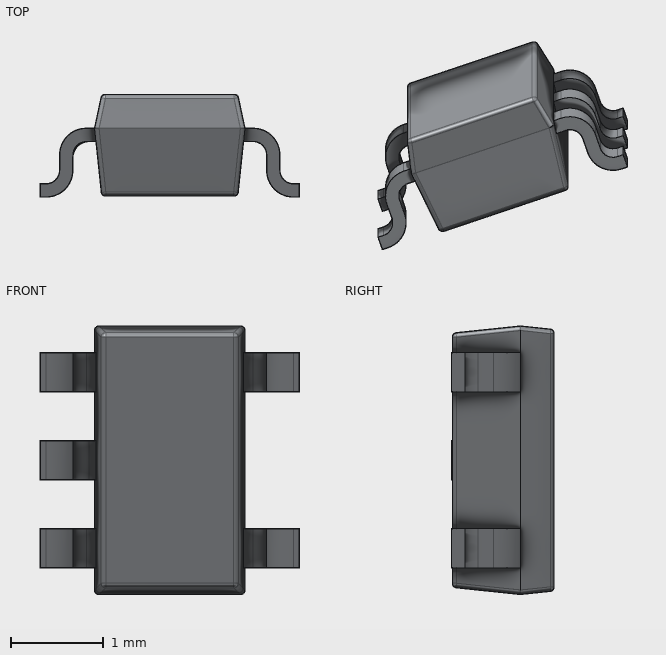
import cadquery as cq
import math

BODY_WIDTH = 1.625
BODY_LENGTH = 2.9
STANDOFF = 0.01
BODY_BACK = 1.11
DRAFT = math.tan(math.radians(6))
BACK_SIDE_DRAFT = math.tan(math.radians(12))
BODY_FILLET = 0.05

LEAD_SPAN = 2.8
LEAD_THICKNESS = 0.145
LEAD_WIDTH = 0.425
LEAD_PITCH = 0.95
LEAD_HEIGHT = 0.745
FOOT_FLAT = 0.065
BEND_INNER = 0.145
BEND_OUTER = BEND_INNER + LEAD_THICKNESS
MIDDLE_SHOULDER_INNER = 0.175
LEAD_ROOT = 0.6

PARTING_Y = LEAD_HEIGHT


def tapered_half(end_y, side_draft):
    """Frustum from the parting plane to end_y, its sides leaning inwards."""
    depth = abs(end_y - PARTING_Y)
    end_width = BODY_WIDTH - 2 * depth * side_draft
    end_length = BODY_LENGTH - 2 * depth * DRAFT
    return (
        cq.Workplane("XZ", origin=(0, PARTING_Y, 0))
        .rect(BODY_WIDTH, BODY_LENGTH)
        .workplane(offset=PARTING_Y - end_y)
        .rect(end_width, end_length)
        .loft(ruled=True)
    )


def make_body():
    front_half = tapered_half(STANDOFF, DRAFT)
    back_half = tapered_half(BODY_BACK, BACK_SIDE_DRAFT)
    body = front_half.union(back_half)
    corners = body.edges("not #Y")
    rims = body.faces("<Y or >Y").edges()
    return corners.add(rims).fillet(BODY_FILLET)


def make_lead(side, z, shoulder_inner):
    """One lead on the side +1 (+X) or -1 (-X), centred on height z."""
    tip = LEAD_SPAN / 2
    foot_bend_x = tip - FOOT_FLAT
    leg_inner = foot_bend_x - BEND_OUTER
    leg_outer = leg_inner + LEAD_THICKNESS
    shoulder_bottom = LEAD_HEIGHT - LEAD_THICKNESS

    shoulder_outer_x = leg_outer - BEND_OUTER
    shoulder_inner_x = leg_inner - shoulder_inner

    profile = (
        cq.Workplane("XY")
        .moveTo(LEAD_ROOT, LEAD_HEIGHT)
        .lineTo(shoulder_outer_x, LEAD_HEIGHT)
        .tangentArcPoint((leg_outer, LEAD_HEIGHT - BEND_OUTER), relative=False)
        .lineTo(leg_outer, LEAD_THICKNESS + BEND_INNER)
        .tangentArcPoint((foot_bend_x, LEAD_THICKNESS), relative=False)
        .lineTo(tip, LEAD_THICKNESS)
        .lineTo(tip, 0)
        .lineTo(foot_bend_x, 0)
        .tangentArcPoint((leg_inner, BEND_OUTER), relative=False)
        .lineTo(leg_inner, shoulder_bottom - shoulder_inner)
        .tangentArcPoint((shoulder_inner_x, shoulder_bottom), relative=False)
        .lineTo(LEAD_ROOT, shoulder_bottom)
        .close()
    )
    lead = profile.extrude(LEAD_WIDTH / 2, both=True)
    if side < 0:
        lead = lead.mirror("YZ")
    return lead.translate((0, 0, z))


result = make_body()
for lead_side in (-1, 1):
    for lead_z in (-LEAD_PITCH, LEAD_PITCH):
        result = result.union(make_lead(lead_side, lead_z, BEND_INNER))
result = result.union(make_lead(-1, 0, MIDDLE_SHOULDER_INNER))